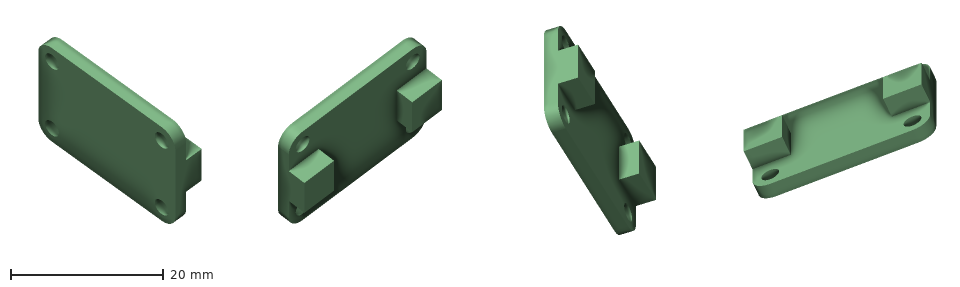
import cadquery as cq

plate_length = 25.4
plate_height = 17.78
plate_thickness = 2.0
corner_radius = 2.55

hole_diameter = 2.55
hole_spacing_x = plate_length - 2 * corner_radius
hole_spacing_z = plate_height - 2 * corner_radius

total_depth = 4.9
block_length = 5.49
block_height = 6.0
block_depth = total_depth - plate_thickness
block_center_x = (plate_length - block_length) / 2


def make_plate():
    """Rounded plate from Y = 0 to its thickness, with four corner holes."""
    plate = cq.Workplane("XY").box(
        plate_length, plate_thickness, plate_height, centered=(True, False, True)
    )
    return (
        plate.edges("|Y")
        .fillet(corner_radius)
        .faces("<Y")
        .workplane(centerOption="CenterOfBoundBox")
        .rarray(hole_spacing_x, hole_spacing_z, 2, 2)
        .hole(hole_diameter)
    )


def make_block(center_x):
    """Rectangular block standing on the back face of the plate."""
    block = cq.Workplane("XY").box(
        block_length, block_depth, block_height, centered=(True, False, True)
    )
    return block.translate((center_x, plate_thickness, 0))


result = make_plate()
for side in (-1, 1):
    result = result.union(make_block(side * block_center_x))